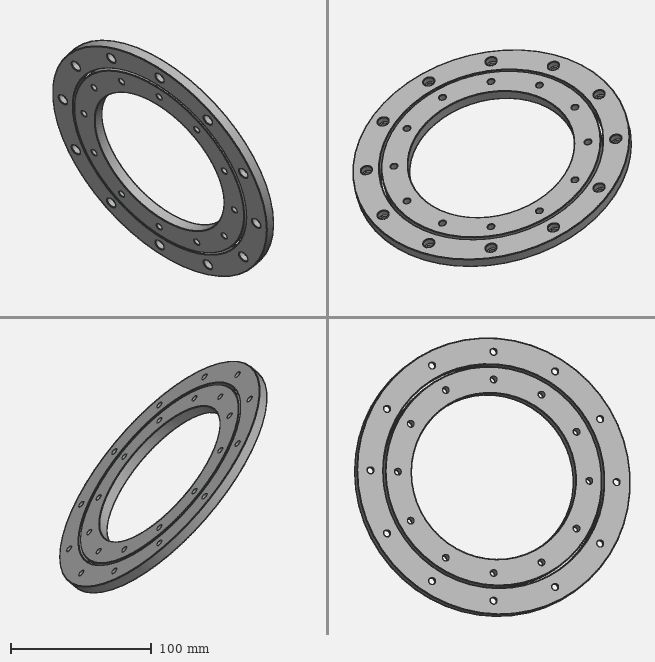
import cadquery as cq


OUTER_DIAMETER = 200.0
OUTER_RING_BORE = 161.5
OUTER_RING_THICKNESS = 8.0
OUTER_BOLT_CIRCLE = 180.0
SCREW_HOLE_DIAMETER = 5.0
COUNTERBORE_DIAMETER = 7.8
COUNTERBORE_DEPTH = 4.5
COUNTERBORE_MOUTH = 8.8

RING_GAP = 1.5
INNER_RING_DIAMETER = OUTER_RING_BORE - 2 * RING_GAP
INNER_RING_BORE = 120.0
FRONT_STEP = 0.5
INNER_RING_THICKNESS = OUTER_RING_THICKNESS + FRONT_STEP
INNER_BOLT_CIRCLE = 140.0
TAPPED_HOLE_DIAMETER = 4.8
TAPPED_HOLE_MOUTH = 5.5

HOLE_COUNT = 12
FULL_TURN = 360.0
MOUTH_ANGLE = 90.0
EDGE_CHAMFER = 0.5


def make_plain_ring(outer_diameter, bore, thickness, front_y):
    """Flat ring with chamfered rims, running from front_y toward +Y."""
    front_plane = cq.Workplane("XZ", origin=(0, front_y, 0))
    ring = front_plane.circle(outer_diameter / 2).circle(bore / 2).extrude(-thickness)
    return ring.faces("<Y or >Y").edges().chamfer(EDGE_CHAMFER)


def hole_positions(ring, bolt_circle):
    """Evenly spaced hole centres on the front face of a ring."""
    front = ring.faces("<Y").workplane(origin=(0, 0, 0))
    return front.polarArray(bolt_circle / 2, 0, FULL_TURN, HOLE_COUNT)


def make_outer_ring():
    ring = make_plain_ring(OUTER_DIAMETER, OUTER_RING_BORE, OUTER_RING_THICKNESS, 0)
    holes = hole_positions(ring, OUTER_BOLT_CIRCLE)
    ring = holes.cboreHole(SCREW_HOLE_DIAMETER, COUNTERBORE_DIAMETER, COUNTERBORE_DEPTH)
    mouths = hole_positions(ring, OUTER_BOLT_CIRCLE)
    return mouths.cskHole(SCREW_HOLE_DIAMETER, COUNTERBORE_MOUTH, MOUTH_ANGLE)


def make_inner_ring():
    ring = make_plain_ring(INNER_RING_DIAMETER, INNER_RING_BORE, INNER_RING_THICKNESS, -FRONT_STEP)
    holes = hole_positions(ring, INNER_BOLT_CIRCLE)
    return holes.cskHole(TAPPED_HOLE_DIAMETER, TAPPED_HOLE_MOUTH, MOUTH_ANGLE)


outer_ring = make_outer_ring()
inner_ring = make_inner_ring()

result = cq.Compound.makeCompound([outer_ring.val(), inner_ring.val()])